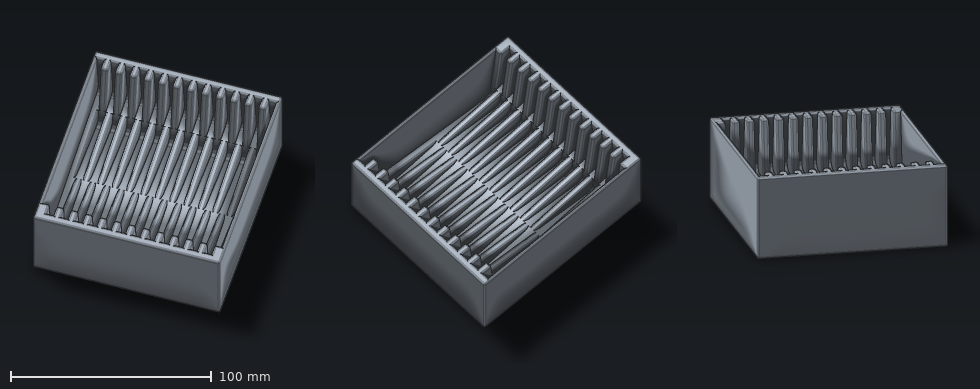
import cadquery as cq

width = 97.2
depth = 107.2
height = 42.0
outer_round = 0.88
side_wall = 1.9

FRONT, BACK = -1, 1
slot_counts = {FRONT: 13, BACK: 12}
inner_width = width - 2 * side_wall
slot_width = inner_width / sum(slot_counts.values())
slot_pitch = 2 * slot_width

tilt = 6.6
card_length = 92.1
card_height = 64.3
card_corner_radius = 4.2
low_corner_y = 39.0
low_corner_z = 2.4

rib_round = 1.0
flared_width = slot_width + 2 * rib_round


def place(upright, side):
    """Tilt a solid built with the card's low corner at the origin and move it into the box."""
    placed = upright.rotate((0, 0, 0), (1, 0, 0), -tilt).translate((0, low_corner_y, low_corner_z))
    return placed if side == BACK else placed.mirror("XZ")


def card(side, thickness):
    """Card with rounded lower corners, its low corner toward the given side."""
    blank = (
        cq.Workplane("XY", origin=(0, -card_length / 2, 0))
        .box(thickness, card_length, card_height, centered=(True, True, False))
        .edges("|X and <Z")
        .fillet(card_corner_radius)
    )
    return place(blank, side)


def trough(plane):
    """Outline one slot wide that flares out to the local X axis with a quarter round on each side."""
    half = slot_width / 2
    return (
        cq.Workplane(plane)
        .moveTo(-half - rib_round, 0)
        .radiusArc((-half, -rib_round), rib_round)
        .lineTo(half, -rib_round)
        .radiusArc((half + rib_round, 0), rib_round)
        .close()
    )


def edge_flares(side):
    """Troughs below the floor and behind the low end of a card that round the edges beside a slot."""
    floor_trough = trough("XZ").extrude(card_length)
    end_trough = trough("XY").extrude(card_height).mirror("XZ")
    return place(floor_trough.union(end_trough), side)


def slot(side):
    """Space of one card, widened where it passes the exposed edges of the opposite row."""
    widened = card(side, flared_width).intersect(edge_flares(-side))
    return card(side, slot_width).union(widened)


def cut_row(body, side):
    """Cut one row of slots, centered on the box and kept between the side walls."""
    count = slot_counts[side]
    cutter = slot(side)
    interior = cq.Workplane("XY").box(inner_width, depth, 2 * height, centered=(True, True, False))
    for i in range(count):
        x = (i - (count - 1) / 2) * slot_pitch
        body = body.cut(cutter.translate((x, 0, 0)).intersect(interior))
    return body


def round_opening(body):
    """Round the edge of the toothed opening in the top face."""
    top_face = body.faces(">Z").val()
    opening_edges = [edge for wire in top_face.innerWires() for edge in wire.Edges()]
    return body.newObject([body.val().fillet(rib_round, opening_edges)])


result = (
    cq.Workplane("XY")
    .box(width, depth, height, centered=(True, True, False))
    .edges()
    .fillet(outer_round)
)
for row_side in slot_counts:
    result = cut_row(result, row_side)
result = round_opening(result).solids()